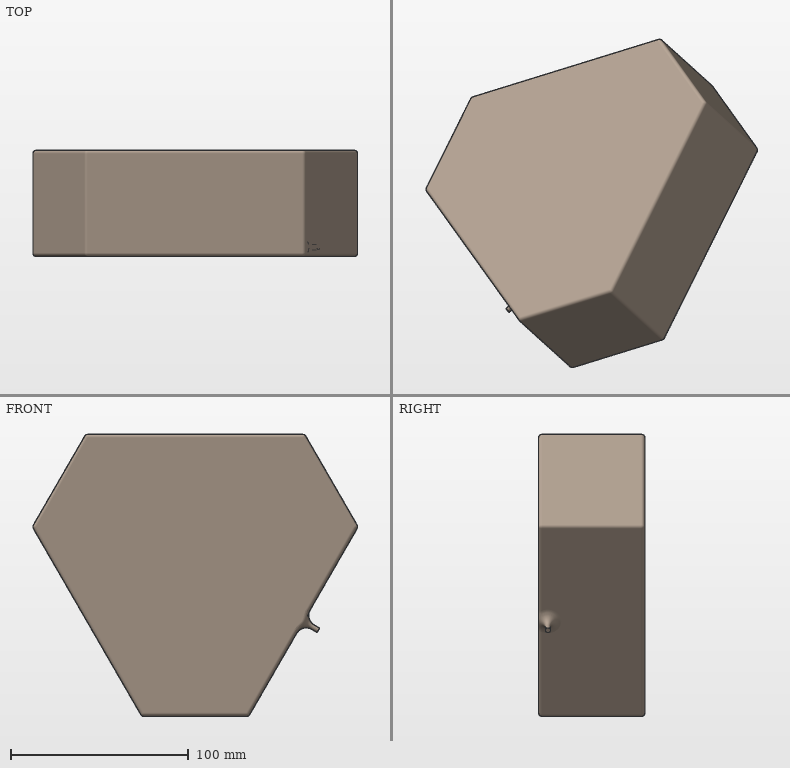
import cadquery as cq
import math

width = 182.7
depth = 60.0
edge_radius = 2.0
corner_loss = edge_radius * (1 / math.cos(math.radians(30)) - 1)
side_sum = width + 2 * corner_loss
height = side_sum * math.sin(math.radians(60))
short_side = 60.1
long_side = side_sum - short_side

pin_radius = 1.5
pin_length = 9.7
flare_radius = 6.2
pin_to_front = 5.3
root_depth = 2.7

top_z = height / 2
front_y = -depth / 2
corner_z = top_z - short_side * math.sin(math.radians(60))


def make_prism():
    outline = [
        (-long_side / 2, top_z),
        (long_side / 2, top_z),
        (side_sum / 2, corner_z),
        (short_side / 2, -top_z),
        (-short_side / 2, -top_z),
        (-side_sum / 2, corner_z),
    ]
    prism = cq.Workplane("XZ").polyline(outline).close().extrude(depth / 2, both=True)
    return prism.edges("|Y").fillet(edge_radius)


def make_flared_pin():
    """Revolve the pin and its flare around the normal of the lower right side."""
    root_x = (side_sum + short_side) / 4
    root_z = (corner_z - top_z) / 2
    side_normal = (math.cos(math.radians(30)), 0, -math.sin(math.radians(30)))
    side_plane = cq.Plane(
        origin=(root_x, front_y + pin_to_front, root_z),
        xDir=(0, 1, 0),
        normal=cq.Vector(0, 1, 0).cross(cq.Vector(*side_normal)),
    )
    flare_rim = pin_radius + flare_radius
    arc_offset = flare_radius * math.sin(math.radians(45))
    return (
        cq.Workplane(side_plane)
        .moveTo(0, -root_depth)
        .lineTo(flare_rim, -root_depth)
        .lineTo(flare_rim, 0)
        .threePointArc((flare_rim - arc_offset, flare_radius - arc_offset), (pin_radius, flare_radius))
        .lineTo(pin_radius, pin_length)
        .lineTo(0, pin_length)
        .close()
        .revolve(360, (0, 0), (0, 1))
    )


depth_envelope = cq.Workplane("XY").box(2 * side_sum, depth, 2 * height)
flared_pin = make_flared_pin().intersect(depth_envelope)
body = make_prism().union(flared_pin)
result = body.faces("<Y or >Y").edges().fillet(edge_radius)